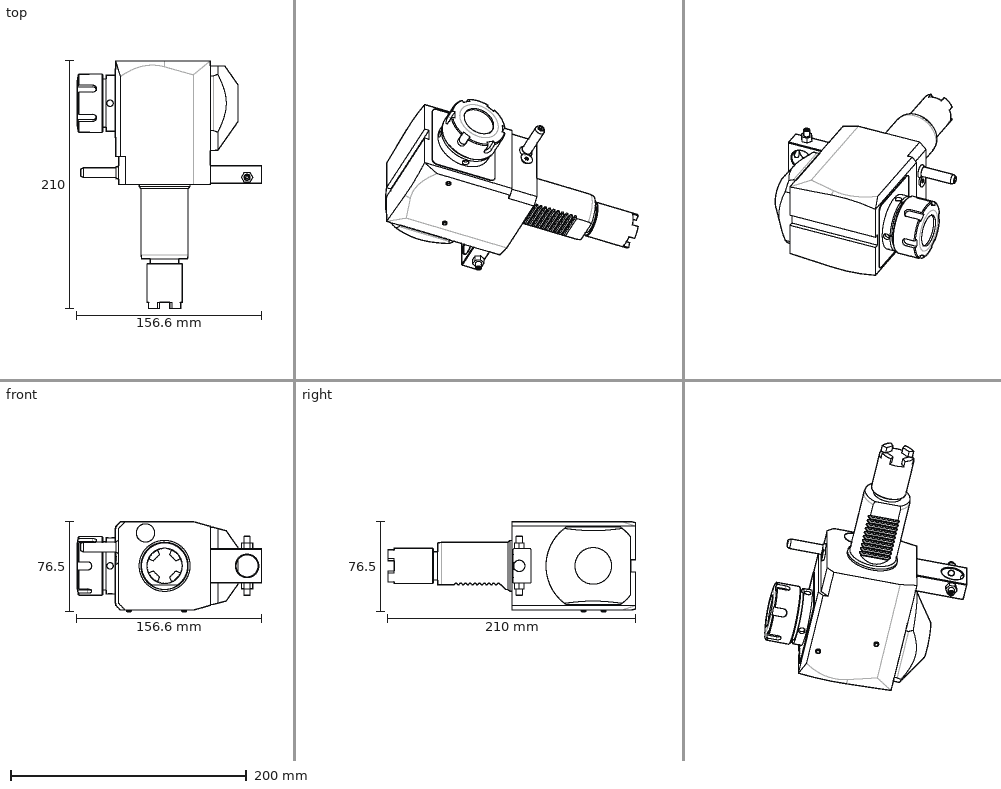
import cadquery as cq
import math


HOUSING_LEFT = -41.5
HOUSING_RIGHT = 38.8
HOUSING_LENGTH = 105.0
HALF_HEIGHT = 37.5
LEFT_CHAMFER = 4.2
TAPER_RUN = 14.5
TAPER_DROP = 4.0
BACK_DRAFT = 14.0
BACK_DRAFT_DEPTH = 16.8
BACK_CROWN = 36.3
CROWN_MARGIN = 6.3
STEP_X = -39.0
STEP_LENGTH = 24.0
STEP_CHAMFER = 5.9
KEYWAY_WIDTH = 10.3
KEYWAY_DEPTH = 4.0
PLUG_X = -16.2
PLUG_Z = 28.0
PLUG_RADIUS = 7.8
PLUG_RECESS = 0.5
BUTTON_CENTRES = ((-30.2, 77.9), (16.5, 60.9))
BUTTON_RADIUS = 2.0
BUTTON_HEIGHT = 1.5

SPINDLE_Y = 69.0
PAD_X = -42.2
PAD_WIDTH = 58.0
PAD_HEIGHT = 63.2
PAD_CORNER = 4.5
COLLAR_FRONT_X = -49.5
COLLAR_RADIUS = 24.0
COLLAR_HOLE_X = -46.2
COLLAR_HOLE_RADIUS = 2.7
COLLAR_HOLE_DEPTH = 3.1
COLLAR_HOLE_COUNT = 4
NECK_RADIUS = 20.5
NUT_BACK_X = -52.3
NUT_FRONT_X = -74.3
NUT_RADIUS = 25.0
NUT_FACE_RADIUS = 17.8
NUT_CONE_HEIGHT = 1.0
NUT_CHAMFER = 0.8
NUT_BORE_RADIUS = 13.6
NUT_BORE_DEPTH = 1.7
NUT_SLOT_WIDTH = 7.0
NUT_SLOT_END = -61.7
NUT_LONG_SLOT_END = -57.7
NUT_SLOT_FLOOR = 21.8
NUT_SLOT_ANGLES = (0, 60, 120, 180)
NUT_LONG_SLOT_ANGLES = (240, 300)

CAP_SHOULDER_X = 45.1
CAP_END_X = 62.3
CAP_RADIUS = 40.0
CAP_END_RADIUS = 15.5
CAP_BACK_Y = 100.7
CAP_FLAT_X = 41.3
CAP_FLAT_Z = 32.7
CAP_SLOPE = 15.0

SHANK_DIAMETER = 40.0
SHANK_RADIUS = SHANK_DIAMETER / 2
SHANK_END_Y = -62.7
SHANK_END_TAPER = 3.1
SHANK_END_RADIUS = 19.5
FLANGE_RADIUS = 21.6
FLANGE_LENGTH = 1.7
FLANGE_TAPER_END = -3.4
DRIVE_NECK_RADIUS = 12.2
DRIVE_DIAMETER = 30.0
DRIVE_RADIUS = DRIVE_DIAMETER / 2
DRIVE_START_Y = -66.5
DRIVE_CHAMFER = 0.6
LUG_BASE_Y = -99.7
LUG_END_Y = -105.0
LUG_COUNT = 4
LUG_INNER_RADIUS = 10.5
LUG_HALF_ANGLE = 21.0
FLAT_Z = -16.2
FLAT_START_Y = -9.0
GROOVE_COUNT = 10
GROOVE_PITCH = 4.0
GROOVE_DEPTH = 1.3
GROOVE_MOUTH = 3.1
GROOVE_FLOOR = 1.3
FIRST_GROOVE_Y = -11.3

PIN_Y = 10.3
PIN_Z = 16.0
PIN_RADIUS = 4.2
PIN_END_X = -71.1
PIN_TIP_LENGTH = 2.3
PIN_TIP_RADIUS = 3.0
PIN_SOCKET_SIZE = 4.0
PIN_SOCKET_DEPTH = 2.0
PIN_COLLAR_RADIUS = 5.7
PIN_COLLAR_TOP_RADIUS = 4.6
PIN_COLLAR_HEIGHT = 2.3
SCREW_Z = 6.5
SCREW_HEAD_RADIUS = 5.2
SCREW_BASE_RADIUS = 4.0
SCREW_HEIGHT = 2.0
SCREW_SOCKET_SIZE = 3.4
SCREW_SOCKET_DEPTH = 1.3

BAR_END_X = 82.3
BAR_FRONT_Y = 1.0
BAR_BACK_Y = 16.4
BAR_HALF_HEIGHT = 14.7
BAR_HOLE_X = 69.9
BAR_EDGE_CHAMFER = 0.6
BAR_HOLE_DIAMETER = 18.7
BAR_HOLE_CHAMFER = 0.6
BAR_END_HOLE_RADIUS = 4.8
SET_SCREW_Y = 6.3
SET_SCREW_DIAMETER = 5.2
SET_SCREW_TIP_Z = 10.0
SET_SCREW_END_Z = 25.2
SET_SCREW_CHAMFER = 0.5
SET_SCREW_SOCKET_SIZE = 2.5
SET_SCREW_SOCKET_DEPTH = 1.7
NUT_TOP_Z = 19.5
HEX_CORNERS = 9.7

BIG = 251.8
OVERLAP = 2.0


def box(x0, x1, y0, y1, z0, z1):
    """Axis-aligned block between opposite corners."""
    return cq.Workplane("XY").box(x1 - x0, y1 - y0, z1 - z0, centered=False).translate((x0, y0, z0))


def turned_x(points, y):
    """Solid turned about an axis along X through Y = y; points are (x, radius)."""
    turned = cq.Workplane("XY").polyline(points).close().revolve(360, (0, 0, 0), (1, 0, 0))
    return turned.translate((0, y, 0))


def plane_x(x, y=0.0, z=0.0):
    """Workplane facing -X, for features on the nut side."""
    return cq.Workplane(cq.Plane(origin=(x, y, z), xDir=(0, -1, 0), normal=(-1, 0, 0)))


def make_back_crown():
    """Region inside the back face's crowned outline, widening towards the front."""
    def line_z(x):
        return BACK_CROWN + (HALF_HEIGHT - TAPER_DROP - BACK_CROWN) * x / HOUSING_RIGHT

    right = HOUSING_RIGHT + CROWN_MARGIN
    slope = (BACK_CROWN - line_z(HOUSING_RIGHT)) / HOUSING_RIGHT
    drop = HALF_HEIGHT - LEFT_CHAMFER - BACK_CROWN
    tilt = math.atan(slope)
    chord = math.hypot(HOUSING_LEFT, drop)
    radius = chord / (2 * math.sin(tilt + math.atan2(-drop, -HOUSING_LEFT)))
    centre_x = -radius * math.sin(tilt)
    centre_z = BACK_CROWN - radius * math.cos(tilt)

    def arc_point(x, side):
        return (x, side * (centre_z + math.sqrt(radius ** 2 - (x - centre_x) ** 2)))

    left = HOUSING_LEFT - CROWN_MARGIN
    outline = (
        cq.Workplane(cq.Plane(origin=(0, HOUSING_LENGTH, 0), xDir=(1, 0, 0), normal=(0, -1, 0)))
        .moveTo(right, line_z(right))
        .lineTo(0, BACK_CROWN)
        .threePointArc(arc_point(left / 2, 1), arc_point(left, 1))
        .lineTo(*arc_point(left, -1))
        .threePointArc(arc_point(left / 2, -1), (0, -BACK_CROWN))
        .lineTo(right, -line_z(right))
        .close()
    )
    return outline.extrude(BACK_DRAFT_DEPTH, taper=-BACK_DRAFT)


def make_housing():
    edge_z = HALF_HEIGHT - TAPER_DROP
    half = [
        (HOUSING_LEFT, HALF_HEIGHT - LEFT_CHAMFER),
        (HOUSING_LEFT + LEFT_CHAMFER, HALF_HEIGHT),
        (HOUSING_RIGHT - TAPER_RUN, HALF_HEIGHT),
        (HOUSING_RIGHT, edge_z),
    ]
    outline = half + [(x, -z) for x, z in reversed(half)]
    housing = cq.Workplane("XZ").polyline(outline).close().extrude(-HOUSING_LENGTH)
    front_part = box(-BIG, BIG, 0, HOUSING_LENGTH - BACK_DRAFT_DEPTH, -BIG, BIG)
    housing = housing.intersect(front_part.union(make_back_crown()))

    step_corner = (STEP_X + STEP_CHAMFER, HALF_HEIGHT)
    step_edge = (STEP_X, HALF_HEIGHT - STEP_CHAMFER)
    outside = [(-BIG, HALF_HEIGHT), step_corner, step_edge]
    outside += [(x, -z) for x, z in reversed(outside)]
    step = cq.Workplane("XZ").polyline(outside).close().extrude(-STEP_LENGTH)
    housing = housing.cut(step)

    keyway = box(-BIG, BIG, HOUSING_LENGTH - KEYWAY_DEPTH, BIG, -KEYWAY_WIDTH / 2, KEYWAY_WIDTH / 2)
    recess = cq.Workplane("XZ").center(PLUG_X, PLUG_Z).circle(PLUG_RADIUS).extrude(-PLUG_RECESS)
    buttons = (
        cq.Workplane("XY", origin=(0, 0, -HALF_HEIGHT - BUTTON_HEIGHT))
        .pushPoints(BUTTON_CENTRES)
        .circle(BUTTON_RADIUS)
        .extrude(2 * BUTTON_HEIGHT)
        .faces("<Z")
        .chamfer(BUTTON_HEIGHT / 2)
    )
    return housing.cut(keyway).cut(recess).union(buttons)


def make_collet_nut():
    pad = (
        plane_x(HOUSING_LEFT + OVERLAP, SPINDLE_Y)
        .rect(PAD_WIDTH, PAD_HEIGHT)
        .extrude(HOUSING_LEFT + OVERLAP - PAD_X)
        .edges("|X")
        .fillet(PAD_CORNER)
    )
    profile = [
        (HOUSING_LEFT, 0),
        (HOUSING_LEFT, COLLAR_RADIUS),
        (COLLAR_FRONT_X, COLLAR_RADIUS),
        (COLLAR_FRONT_X, NECK_RADIUS),
        (NUT_BACK_X, NECK_RADIUS),
        (NUT_BACK_X, NUT_RADIUS - NUT_CHAMFER),
        (NUT_BACK_X - NUT_CHAMFER, NUT_RADIUS),
        (NUT_FRONT_X + NUT_CONE_HEIGHT + NUT_CHAMFER, NUT_RADIUS),
        (NUT_FRONT_X + NUT_CONE_HEIGHT, NUT_RADIUS - NUT_CHAMFER),
        (NUT_FRONT_X, NUT_FACE_RADIUS),
        (NUT_FRONT_X, NUT_BORE_RADIUS),
        (NUT_FRONT_X + NUT_BORE_DEPTH, NUT_BORE_RADIUS),
        (NUT_FRONT_X + NUT_BORE_DEPTH, 0),
    ]
    nut = turned_x(profile, SPINDLE_Y)
    axis_start = (0, SPINDLE_Y, 0)
    axis_end = (1, SPINDLE_Y, 0)

    def slot(end_x, angle):
        blank = (
            cq.Workplane("XZ", origin=(NUT_FRONT_X, SPINDLE_Y - NUT_SLOT_FLOOR, 0))
            .slot2D(2 * (end_x - NUT_FRONT_X), NUT_SLOT_WIDTH)
            .extrude(NUT_RADIUS - NUT_SLOT_FLOOR + OVERLAP)
        )
        return blank.rotate(axis_start, axis_end, angle)

    for angle in NUT_SLOT_ANGLES:
        nut = nut.cut(slot(NUT_SLOT_END, angle))
    for angle in NUT_LONG_SLOT_ANGLES:
        nut = nut.cut(slot(NUT_LONG_SLOT_END, angle))

    hole = (
        cq.Workplane("XZ", origin=(COLLAR_HOLE_X, SPINDLE_Y - COLLAR_RADIUS + COLLAR_HOLE_DEPTH, 0))
        .circle(COLLAR_HOLE_RADIUS)
        .extrude(2 * COLLAR_HOLE_DEPTH)
    )
    for index in range(COLLAR_HOLE_COUNT):
        nut = nut.cut(hole.rotate(axis_start, axis_end, index * 360 / COLLAR_HOLE_COUNT))
    return pad.union(nut)


def make_end_cap():
    profile = [
        (HOUSING_RIGHT - OVERLAP, 0),
        (HOUSING_RIGHT - OVERLAP, CAP_RADIUS),
        (CAP_SHOULDER_X, CAP_RADIUS),
        (CAP_END_X, CAP_END_RADIUS),
        (CAP_END_X, 0),
    ]
    cap = turned_x(profile, SPINDLE_Y)
    end_z = CAP_FLAT_Z - (CAP_END_X - CAP_FLAT_X) * math.tan(math.radians(CAP_SLOPE))
    half = [(HOUSING_RIGHT - OVERLAP, CAP_FLAT_Z), (CAP_FLAT_X, CAP_FLAT_Z), (CAP_END_X, end_z)]
    outline = half + [(x, -z) for x, z in reversed(half)]
    envelope = cq.Workplane("XZ").polyline(outline).close().extrude(-CAP_BACK_Y)
    return cap.intersect(envelope)


def make_shank():
    profile = [
        (0, OVERLAP),
        (FLANGE_RADIUS, OVERLAP),
        (FLANGE_RADIUS, -FLANGE_LENGTH),
        (SHANK_RADIUS, FLANGE_TAPER_END),
        (SHANK_RADIUS, SHANK_END_Y + SHANK_END_TAPER),
        (SHANK_END_RADIUS, SHANK_END_Y),
        (0, SHANK_END_Y),
    ]
    shank = cq.Workplane("XY").polyline(profile).close().revolve(360, (0, 0, 0), (0, 1, 0))

    rise = FLANGE_RADIUS + FLAT_Z
    flat = [
        (FLAT_START_Y, FLAT_Z),
        (FLAT_START_Y + rise, -FLANGE_RADIUS),
        (FLAT_START_Y + rise, -2 * FLANGE_RADIUS),
        (SHANK_END_Y - OVERLAP, -2 * FLANGE_RADIUS),
        (SHANK_END_Y - OVERLAP, FLAT_Z),
    ]
    shank = shank.cut(cq.Workplane("YZ").polyline(flat).close().extrude(FLANGE_RADIUS, both=True))
    groove_profile = [
        (-GROOVE_MOUTH / 2, FLAT_Z),
        (-GROOVE_FLOOR / 2, FLAT_Z + GROOVE_DEPTH),
        (GROOVE_FLOOR / 2, FLAT_Z + GROOVE_DEPTH),
        (GROOVE_MOUTH / 2, FLAT_Z),
    ]
    groove = cq.Workplane("YZ").polyline(groove_profile).close().extrude(FLANGE_RADIUS, both=True)
    for index in range(GROOVE_COUNT):
        shank = shank.cut(groove.translate((0, FIRST_GROOVE_Y - index * GROOVE_PITCH, 0)))
    return shank


def make_drive():
    profile = [
        (0, SHANK_END_Y + OVERLAP),
        (DRIVE_NECK_RADIUS, SHANK_END_Y + OVERLAP),
        (DRIVE_NECK_RADIUS, DRIVE_START_Y),
        (DRIVE_RADIUS - DRIVE_CHAMFER, DRIVE_START_Y),
        (DRIVE_RADIUS, DRIVE_START_Y - DRIVE_CHAMFER),
        (DRIVE_RADIUS, LUG_END_Y),
        (0, LUG_END_Y),
    ]
    drive = cq.Workplane("XY").polyline(profile).close().revolve(360, (0, 0, 0), (0, 1, 0))

    def polar(radius, angle):
        return (radius * math.cos(math.radians(angle)), radius * math.sin(math.radians(angle)))

    gap_points = []
    for index in range(LUG_COUNT):
        middle = index * 360 / LUG_COUNT
        start = middle - 180 / LUG_COUNT + LUG_HALF_ANGLE
        end = middle + 180 / LUG_COUNT - LUG_HALF_ANGLE
        gap_points += [polar(LUG_INNER_RADIUS, start), polar(2 * DRIVE_RADIUS, start)]
        gap_points += [polar(2 * DRIVE_RADIUS, end), polar(LUG_INNER_RADIUS, end)]
    gaps = (
        cq.Workplane("XZ", origin=(0, LUG_BASE_Y, 0))
        .polyline(gap_points)
        .close()
        .extrude(LUG_BASE_Y - LUG_END_Y)
    )
    return drive.cut(gaps)


def make_coolant_pin():
    profile = [
        (STEP_X + OVERLAP, 0),
        (STEP_X + OVERLAP, PIN_COLLAR_RADIUS),
        (STEP_X, PIN_COLLAR_RADIUS),
        (STEP_X - PIN_COLLAR_HEIGHT, PIN_COLLAR_TOP_RADIUS),
        (STEP_X - PIN_COLLAR_HEIGHT, PIN_RADIUS),
        (PIN_END_X + PIN_TIP_LENGTH, PIN_RADIUS),
        (PIN_END_X, PIN_TIP_RADIUS),
        (PIN_END_X, 0),
    ]
    pin = turned_x(profile, PIN_Y).translate((0, 0, PIN_Z))
    socket = plane_x(PIN_END_X, PIN_Y, PIN_Z).polygon(6, PIN_SOCKET_SIZE).extrude(-PIN_SOCKET_DEPTH)
    return pin.cut(socket)


def make_side_screw():
    """Countersunk screw standing proud of the set-back face."""
    top_x = STEP_X - SCREW_HEIGHT
    profile = [
        (STEP_X + OVERLAP, 0),
        (STEP_X + OVERLAP, SCREW_BASE_RADIUS),
        (STEP_X, SCREW_BASE_RADIUS),
        (top_x, SCREW_HEAD_RADIUS),
        (top_x, 0),
    ]
    screw = turned_x(profile, PIN_Y).translate((0, 0, SCREW_Z))
    socket = plane_x(top_x, PIN_Y, SCREW_Z).polygon(6, SCREW_SOCKET_SIZE).extrude(-SCREW_SOCKET_DEPTH)
    return screw.cut(socket)


def make_clamp_bar():
    bar = box(HOUSING_RIGHT - OVERLAP, BAR_END_X, BAR_FRONT_Y, BAR_BACK_Y, -BAR_HALF_HEIGHT, BAR_HALF_HEIGHT)
    bar = bar.edges("|X").chamfer(BAR_EDGE_CHAMFER)
    bore = cq.Workplane("XZ").center(BAR_HOLE_X, 0).circle(BAR_HOLE_DIAMETER / 2).extrude(-2 * BAR_BACK_Y)
    bar = bar.cut(bore).edges("%CIRCLE").chamfer(BAR_HOLE_CHAMFER)
    end_hole = plane_x(BAR_END_X, SET_SCREW_Y).circle(BAR_END_HOLE_RADIUS).extrude(BAR_END_X - BAR_HOLE_X)
    screw_hole = (
        cq.Workplane("XY", origin=(BAR_HOLE_X, SET_SCREW_Y, 0))
        .circle(SET_SCREW_DIAMETER / 2)
        .extrude(SET_SCREW_TIP_Z, both=True)
    )
    bar = bar.cut(end_hole).cut(screw_hole)

    hex_nut = (
        cq.Workplane("XY", origin=(BAR_HOLE_X, SET_SCREW_Y, BAR_HALF_HEIGHT))
        .polygon(6, HEX_CORNERS)
        .extrude(NUT_TOP_Z - BAR_HALF_HEIGHT)
    )
    set_screw = (
        cq.Workplane("XY", origin=(BAR_HOLE_X, SET_SCREW_Y, SET_SCREW_TIP_Z))
        .circle(SET_SCREW_DIAMETER / 2)
        .extrude(SET_SCREW_END_Z - SET_SCREW_TIP_Z)
        .faces(">Z")
        .chamfer(SET_SCREW_CHAMFER)
    )
    socket = (
        cq.Workplane("XY", origin=(BAR_HOLE_X, SET_SCREW_Y, SET_SCREW_END_Z))
        .polygon(6, SET_SCREW_SOCKET_SIZE)
        .extrude(-SET_SCREW_SOCKET_DEPTH)
    )
    clamp = hex_nut.union(set_screw).cut(socket)
    return bar.union(clamp).union(clamp.mirror("XY"))


result = (
    make_housing()
    .union(make_collet_nut())
    .union(make_end_cap())
    .union(make_shank())
    .union(make_drive())
    .union(make_coolant_pin())
    .union(make_side_screw())
    .union(make_clamp_bar())
)